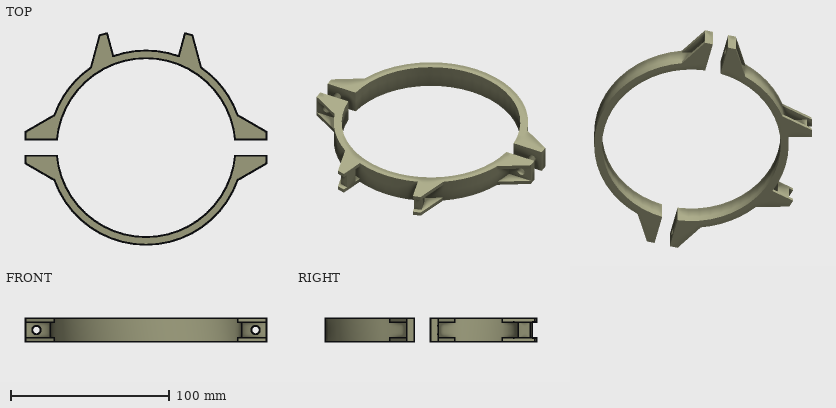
import cadquery as cq
import math

INNER_RADIUS = 56.5
WALL = 5.0
OUTER_RADIUS = INNER_RADIUS + WALL
HEIGHT = 15.0
HALF_GAP = 5.0

EAR_LENGTH = 15.0
WEB_THICKNESS = 5.0
FLANGE_THICKNESS = 2.5
FLANGE_SLOPE = 30.0
EAR_ROOT = math.sqrt(OUTER_RADIUS**2 - HALF_GAP**2)
EAR_TIP = EAR_ROOT + EAR_LENGTH
WEB_BACK = HALF_GAP + WEB_THICKNESS

SCREW_DIAMETER = 5.2
SCREW_FROM_ROOT = 8.0
SCREW_X = EAR_ROOT + SCREW_FROM_ROOT

HOOK_ANGLE = 105.0
STRAP_SLOT = 4.0
HOOK_WEB_LENGTH = 8.0


def block(x_start, x_end, y_start, y_end, z_start, z_end):
    """Box between the given limits."""
    return (
        cq.Workplane("XY")
        .box(x_end - x_start, y_end - y_start, z_end - z_start, centered=False)
        .translate((x_start, y_start, z_start))
    )


def ring_cylinder(radius):
    return cq.Workplane("XY").circle(radius).extrude(HEIGHT)


def half_ring():
    """The part of the ring on the +Y side of the gap."""
    ring = ring_cylinder(OUTER_RADIUS).cut(ring_cylinder(INNER_RADIUS))
    keep = block(-OUTER_RADIUS, OUTER_RADIUS, HALF_GAP, OUTER_RADIUS, 0, HEIGHT)
    return ring.intersect(keep)


def flanged_ear(web_start, web_end):
    """Ear along +X: two sloped flanges joined by a web from web_start to web_end."""
    slope_rise = (EAR_TIP - INNER_RADIUS) * math.tan(math.radians(FLANGE_SLOPE))
    outline = [
        (INNER_RADIUS, HALF_GAP),
        (EAR_TIP, HALF_GAP),
        (EAR_TIP, WEB_BACK),
        (INNER_RADIUS, WEB_BACK + slope_rise),
    ]
    flange = cq.Workplane("XY").polyline(outline).close().extrude(FLANGE_THICKNESS)
    top_flange = flange.translate((0, 0, HEIGHT - FLANGE_THICKNESS))
    web = block(web_start, web_end, HALF_GAP, WEB_BACK, 0, HEIGHT)
    return flange.union(top_flange).union(web).cut(ring_cylinder(INNER_RADIUS))


def clamp_lug():
    """Lug at the +X end of a half ring, with its screw hole along Y."""
    screw_hole = (
        cq.Workplane("XZ", origin=(SCREW_X, HALF_GAP, HEIGHT / 2))
        .circle(SCREW_DIAMETER / 2)
        .extrude(-WEB_THICKNESS)
    )
    return flanged_ear(INNER_RADIUS, EAR_TIP).cut(screw_hole)


def strap_hook():
    """Left hook: its web leaves a slot for a strap and stops short of the flange tips."""
    web_start = EAR_ROOT + STRAP_SLOT
    hook = flanged_ear(web_start, web_start + HOOK_WEB_LENGTH)
    return hook.rotate((0, 0, 0), (0, 0, 1), HOOK_ANGLE)


def clamp_half():
    """Half ring with a clamping lug at each end."""
    lug = clamp_lug()
    return half_ring().union(lug).union(lug.mirror("YZ"))


def hooked_half():
    """Clamp half that also carries a mirrored pair of strap hooks."""
    hook = strap_hook()
    return clamp_half().union(hook).union(hook.mirror("YZ"))


plain_clamp = clamp_half().mirror("XZ").solids()
hooked_clamp = hooked_half().solids()

result = cq.Compound.makeCompound([plain_clamp.val(), hooked_clamp.val()])